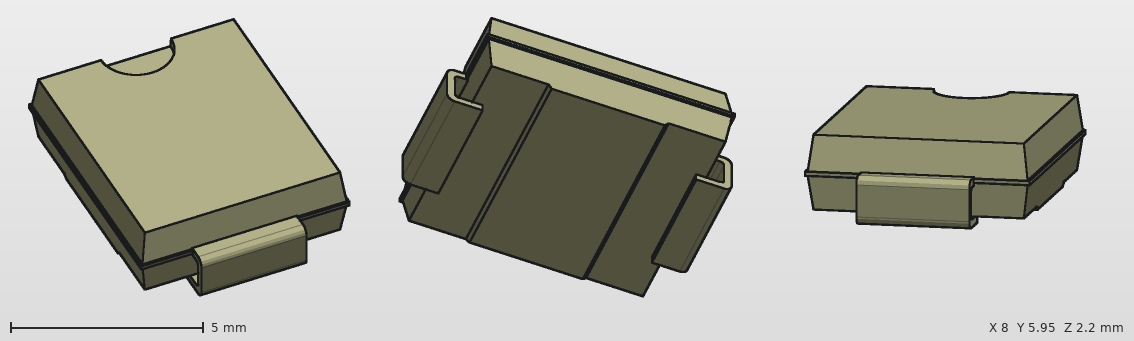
import cadquery as cq

overall_length = 8.0
overall_height = 2.2

flange_length = 6.94
flange_width = 5.95
flange_bottom = 1.14
flange_top = 1.25
flange_overhang = 0.06
taper_inset = 0.13

lead_width = 3.0
lead_thickness = 0.22
lead_top = 1.28
lead_foot_length = 1.0
lead_outer_radius = 0.22
lead_inner_radius = 0.12
lead_embed = 0.24

pad_length = 3.38
pad_height = 0.11
pad_end_slope = 0.1

recess_radius = 1.0
recess_depth = 0.3

body_bottom = lead_thickness
root_length = flange_length - 2 * flange_overhang
root_width = flange_width - 2 * flange_overhang
face_length = root_length - 2 * taper_inset
face_width = root_width - 2 * taper_inset


def tapered_half(root_z, face_z):
    """Half of the body, narrowing from the flange to its flat outer face."""
    return (
        cq.Workplane("XY", origin=(0, 0, root_z))
        .rect(root_length, root_width)
        .workplane(offset=face_z - root_z)
        .rect(face_length, face_width)
        .loft(ruled=True)
    )


def make_body():
    flange = cq.Workplane("XY", origin=(0, 0, flange_bottom)).box(
        flange_length, flange_width, flange_top - flange_bottom, centered=(True, True, False)
    )
    upper = tapered_half(flange_top, overall_height)
    lower = tapered_half(flange_bottom, body_bottom)
    return flange.union(upper).union(lower)


def make_pad():
    """Shallow pad across the lower face; its long sides continue the body taper."""
    half_top = pad_length / 2
    half_bottom = half_top - pad_end_slope
    pad_bottom = body_bottom - pad_height
    side_inset = pad_height * taper_inset / (flange_bottom - body_bottom)
    profile = (
        cq.Workplane("XZ")
        .polyline([
            (-half_top, body_bottom),
            (half_top, body_bottom),
            (half_bottom, pad_bottom),
            (-half_bottom, pad_bottom),
        ])
        .close()
        .extrude(face_width / 2, both=True)
    )
    tapered_block = (
        cq.Workplane("XY", origin=(0, 0, body_bottom))
        .rect(face_length, face_width)
        .workplane(offset=-pad_height)
        .rect(face_length, face_width - 2 * side_inset)
        .loft(ruled=True)
    )
    return profile.intersect(tapered_block)


def make_lead():
    """The +X lead: upper arm out of the body, bend down, foot under the body."""
    outer_x = overall_length / 2
    inner_x = outer_x - lead_thickness
    arm_start = root_length / 2 - lead_embed
    foot_end = outer_x - lead_foot_length
    arm_bottom = lead_top - lead_thickness
    lead = (
        cq.Workplane("XZ")
        .moveTo(arm_start, lead_top)
        .lineTo(outer_x, lead_top)
        .lineTo(outer_x, 0)
        .lineTo(foot_end, 0)
        .lineTo(foot_end, lead_thickness)
        .lineTo(inner_x, lead_thickness)
        .lineTo(inner_x, arm_bottom)
        .lineTo(arm_start, arm_bottom)
        .close()
        .extrude(lead_width / 2, both=True)
    )
    lead = lead.edges("|Y and >X").fillet(lead_outer_radius)
    inner_wall = cq.selectors.NearestToPointSelector((inner_x, 0, (arm_bottom + lead_thickness) / 2))
    return lead.faces(inner_wall).edges("|Y").fillet(lead_inner_radius)


def make_recess():
    """Cutter centred on the -X edge of the upper face."""
    return (
        cq.Workplane("XY", origin=(-face_length / 2, 0, overall_height))
        .circle(recess_radius)
        .extrude(-recess_depth)
    )


positive_lead = make_lead()
body = make_body().union(make_pad()).cut(make_recess())
result = body.union(positive_lead).union(positive_lead.mirror("YZ"))